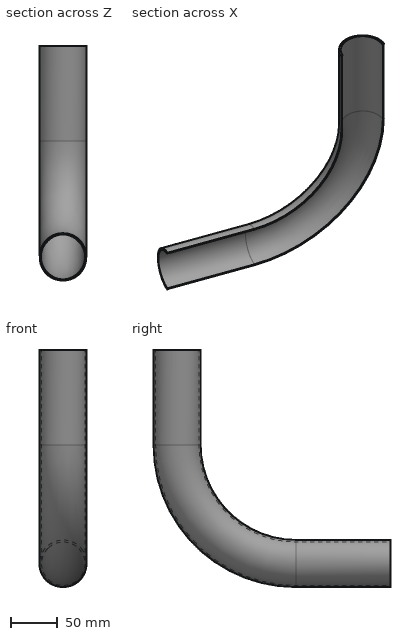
import cadquery as cq
import math

outer_diameter = 50.8
inner_diameter = 46.5
leg_length = 101.5
bend_radius = 127.0

leg_end = bend_radius + leg_length
bend_middle = bend_radius * (1 - math.sqrt(0.5))
centreline = (
    cq.Workplane("YZ")
    .moveTo(0, leg_end)
    .lineTo(0, bend_radius)
    .threePointArc((bend_middle, bend_middle), (bend_radius, 0))
    .lineTo(leg_end, 0)
)

result = (
    cq.Workplane("XY", origin=(0, 0, leg_end))
    .circle(outer_diameter / 2)
    .circle(inner_diameter / 2)
    .sweep(centreline)
)